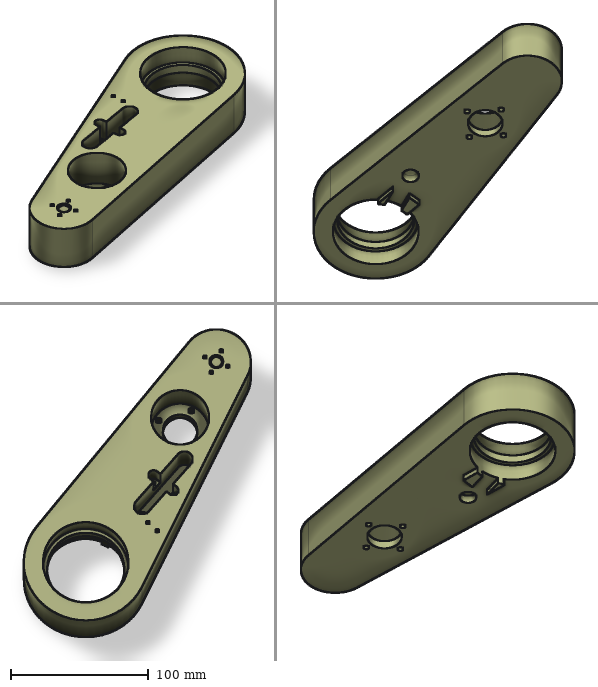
import cadquery as cq
import math

BODY_HEIGHT = 35.0
SMALL_END_RADIUS = 25.0
BIG_END_RADIUS = 45.0
BIG_END = (25.2, 180.0)

BEARING_SEAT_RADIUS = 31.0
BEARING_LIP_RADIUS = 28.0
BEARING_LIP_HEIGHT = 7.0

MOTOR_CENTER = (7.0, 50.0)
MOTOR_POCKET_RADIUS = 21.0
MOTOR_FLOOR = 7.0
MOTOR_SHAFT_RADIUS = 12.5
MOTOR_BOLT_CIRCLE_RADIUS = 17.5
MOTOR_BOLT_RADIUS = 2.0
MOTOR_BOLT_ANGLE = -4.0

SLOT_CENTER = (-2.0, 101.2)
SLOT_ANGLE = 73.6
SLOT_RADIUS = 6.0
SLOT_END_SPACING = 47.5
SLOT_FLOOR = 7.0
RECESS_RADIUS = 3.7
RECESS_SPACING = 18.5
RECESS_DEPTH = 17.5
RECESS_SCREW_RADIUS = 1.5

COUNTERSINK_RADIUS = 5.0
COUNTERSINK_FLOOR_RADIUS = 4.0
END_SCREW_CIRCLE_RADIUS = 9.0
END_SCREW_RADIUS = 1.2

PIN_HOLE_PAIR_CENTER = (-8.2, 135.5)
PIN_HOLE_SPACING = 9.2
PIN_HOLE_RADIUS = 1.2

SMALL_HOLE_DEPTH = 10.0

PAD_HEIGHT = 5.0
PAD_CORNER = (3.0, 137.0)
PAD_WIDTH = 22.7
PAD_LENGTH = 19.5
PAD_ANGLE = -2.6
CHANNEL_CENTER = (12.2, 145.5)
CHANNEL_WIDTH = 13.5
CHANNEL_LENGTH = 50.0
CHANNEL_ANGLE = -20.2


def offset_point(center, distance, angle):
    """Point at a distance from center, in the direction of angle (degrees from +X)."""
    turn = math.radians(angle)
    return (center[0] + distance * math.cos(turn), center[1] + distance * math.sin(turn))


def cylinder(center, radius, bottom, top):
    """Upright cylinder between two heights."""
    return cq.Workplane("XY", origin=(*center, bottom)).circle(radius).extrude(top - bottom)


def blind_hole(center, radius, depth):
    """Cutter for a hole from the top face."""
    return cylinder(center, radius, BODY_HEIGHT - depth, BODY_HEIGHT)


def through_hole(center, radius):
    """Cutter for a hole through the full body height."""
    return cylinder(center, radius, 0, BODY_HEIGHT)


def slot_cutter(center, end_spacing, radius, angle, bottom):
    """Cutter for a round-ended slot from bottom to the top face."""
    return (
        cq.Workplane("XY", origin=(*center, bottom))
        .slot2D(end_spacing + 2 * radius, 2 * radius, angle)
        .extrude(BODY_HEIGHT - bottom)
    )


def make_body():
    """Plate with two round ends and straight sides tangent to both."""
    axis_angle = math.degrees(math.atan2(BIG_END[1], BIG_END[0]))
    radius_ratio = (SMALL_END_RADIUS - BIG_END_RADIUS) / math.hypot(*BIG_END)
    normal_angle = math.degrees(math.acos(radius_ratio))
    left = axis_angle + normal_angle
    right = axis_angle - normal_angle
    origin = (0, 0)
    return (
        cq.Workplane("XY")
        .moveTo(*offset_point(origin, SMALL_END_RADIUS, right))
        .lineTo(*offset_point(BIG_END, BIG_END_RADIUS, right))
        .threePointArc(
            offset_point(BIG_END, BIG_END_RADIUS, axis_angle),
            offset_point(BIG_END, BIG_END_RADIUS, left),
        )
        .lineTo(*offset_point(origin, SMALL_END_RADIUS, left))
        .threePointArc(
            offset_point(origin, SMALL_END_RADIUS, axis_angle + 180),
            offset_point(origin, SMALL_END_RADIUS, right),
        )
        .close()
        .extrude(BODY_HEIGHT)
    )


def make_pad():
    """Rectangular pad below the body, split by the channel."""
    pad = (
        cq.Workplane("XY")
        .rect(PAD_WIDTH, PAD_LENGTH, centered=False)
        .extrude(-PAD_HEIGHT)
        .rotate((0, 0, 0), (0, 0, 1), PAD_ANGLE)
        .translate(PAD_CORNER)
    )
    channel = (
        cq.Workplane("XY")
        .rect(CHANNEL_WIDTH, CHANNEL_LENGTH)
        .extrude(-PAD_HEIGHT)
        .rotate((0, 0, 0), (0, 0, 1), CHANNEL_ANGLE)
        .translate(CHANNEL_CENTER)
    )
    return pad.cut(channel)


def cut_bearing_bore(part):
    """Cut the lip opening and both seats; the lower seat also trims the pad."""
    lip_bottom = (BODY_HEIGHT - BEARING_LIP_HEIGHT) / 2
    lip_top = lip_bottom + BEARING_LIP_HEIGHT
    part = part.cut(through_hole(BIG_END, BEARING_LIP_RADIUS))
    part = part.cut(cylinder(BIG_END, BEARING_SEAT_RADIUS, lip_top, BODY_HEIGHT))
    return part.cut(cylinder(BIG_END, BEARING_SEAT_RADIUS, -PAD_HEIGHT, lip_bottom))


def cut_motor_mount(part):
    part = part.cut(cylinder(MOTOR_CENTER, MOTOR_POCKET_RADIUS, MOTOR_FLOOR, BODY_HEIGHT))
    part = part.cut(through_hole(MOTOR_CENTER, MOTOR_SHAFT_RADIUS))
    for quarter in range(4):
        bolt = offset_point(MOTOR_CENTER, MOTOR_BOLT_CIRCLE_RADIUS, MOTOR_BOLT_ANGLE + 90 * quarter)
        part = part.cut(through_hole(bolt, MOTOR_BOLT_RADIUS))
    return part


def cut_slot(part):
    recess_floor = BODY_HEIGHT - RECESS_DEPTH
    recess_angle = SLOT_ANGLE - 90
    upper_end = offset_point(SLOT_CENTER, SLOT_END_SPACING / 2, SLOT_ANGLE)
    part = part.cut(slot_cutter(SLOT_CENTER, SLOT_END_SPACING, SLOT_RADIUS, SLOT_ANGLE, SLOT_FLOOR))
    part = part.cut(through_hole(upper_end, SLOT_RADIUS))
    part = part.cut(slot_cutter(SLOT_CENTER, RECESS_SPACING, RECESS_RADIUS, recess_angle, recess_floor))
    for side in (-1, 1):
        screw = offset_point(SLOT_CENTER, side * RECESS_SPACING / 2, recess_angle)
        part = part.cut(cylinder(screw, RECESS_SCREW_RADIUS, recess_floor - SMALL_HOLE_DEPTH, recess_floor))
    return part


def cut_small_end(part):
    depth = COUNTERSINK_RADIUS - COUNTERSINK_FLOOR_RADIUS
    countersink = cq.Solid.makeCone(
        COUNTERSINK_FLOOR_RADIUS,
        COUNTERSINK_RADIUS,
        depth,
        pnt=cq.Vector(0, 0, BODY_HEIGHT - depth),
    )
    part = part.cut(countersink)
    for quarter in range(4):
        screw = offset_point((0, 0), END_SCREW_CIRCLE_RADIUS, 90 * quarter)
        part = part.cut(blind_hole(screw, END_SCREW_RADIUS, SMALL_HOLE_DEPTH))
    return part


def cut_pin_holes(part):
    for side in (-1, 1):
        hole = offset_point(PIN_HOLE_PAIR_CENTER, side * PIN_HOLE_SPACING / 2, CHANNEL_ANGLE)
        part = part.cut(blind_hole(hole, PIN_HOLE_RADIUS, SMALL_HOLE_DEPTH))
    return part


result = make_body().union(make_pad())
result = cut_bearing_bore(result)
result = cut_motor_mount(result)
result = cut_slot(result)
result = cut_small_end(result)
result = cut_pin_holes(result)